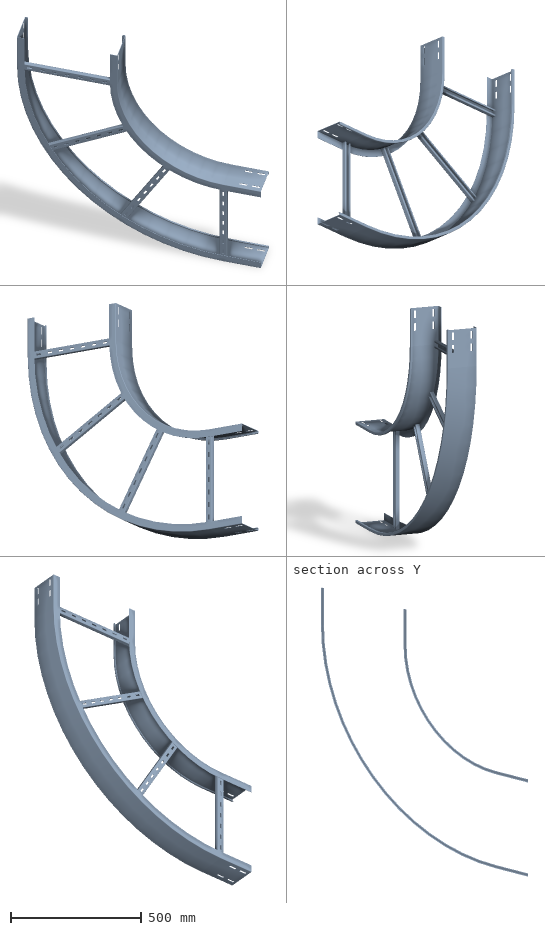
import cadquery as cq
import math

bend_radius = 820.0
ladder_width = 400.0
straight_length = 150.0
rail_height = 120.0

sheet = 1.5
bend_outer = 2.0
bend_inner = bend_outer - sheet

front_flange = 30.0
rear_flange = 12.0
rear_lip = 8.0

web_slot_length = 30.0
web_slot_width = 8.0
web_slot_end_distance = 25.0
web_slot_pitch = 50.0
web_slot_spacing = 75.0

rung_angles = (0, 30, 60, 90)
rung_width = 29.0
rung_depth = 17.0
rung_lip = 7.0
rung_slot_count = 7
rung_slot_pitch = 50.0
rung_slot_length = 20.0
rung_slot_width = 7.0

centre_x = bend_radius
centre_z = bend_radius
inner_bend_radius = bend_radius - ladder_width
rail_front = -rail_height / 2
rail_rear = rail_height / 2
rung_front = rail_front + sheet
cut_reach = 4 * sheet
pick_size = 0.1


def bent_section(outer_points):
    """Sketch of bent sheet; outer_points is its open outer outline, turning left at each corner."""
    directions = []
    for start, end in zip(outer_points, outer_points[1:]):
        length = math.dist(start, end)
        directions.append(((end[0] - start[0]) / length, (end[1] - start[1]) / length))
    inner_points = []
    for i, (u, v) in enumerate(outer_points):
        before = directions[max(i - 1, 0)]
        after = directions[min(i, len(directions) - 1)]
        normals = {(-before[1], before[0]), (-after[1], after[0])}
        inner_u = u + sheet * sum(normal[0] for normal in normals)
        inner_v = v + sheet * sum(normal[1] for normal in normals)
        inner_points.append((inner_u, inner_v))
    outline = cq.Sketch().polygon(outer_points + inner_points[::-1] + outer_points[:1])
    for corners, radius in ((outer_points[1:-1], bend_outer), (inner_points[1:-1], bend_inner)):
        for u, v in corners:
            corner_box = cq.selectors.BoxSelector(
                (u - pick_size, v - pick_size, -pick_size),
                (u + pick_size, v + pick_size, pick_size),
            )
            outline = outline.reset().vertices(corner_box).fillet(radius)
    return outline.reset()


def rail_section(web_radius, inward):
    """Rail outline in (distance from bend centre, Y); inward is -1 for flanges towards the centre."""
    front_edge = (web_radius + inward * front_flange, rail_front)
    front_corner = (web_radius, rail_front)
    rear_corner = (web_radius, rail_rear)
    rear_edge = (web_radius + inward * rear_flange, rail_rear)
    lip_edge = (web_radius + inward * rear_flange, rail_rear - rear_lip)
    points = [front_edge, front_corner, rear_corner, rear_edge, lip_edge]
    return bent_section(points if inward < 0 else points[::-1])


def web_slots(web_radius):
    """Cutters for the slots at both ends of a rail."""
    group_middle = straight_length - web_slot_end_distance - web_slot_pitch / 2
    lower = (
        cq.Workplane("XY", origin=(centre_x + group_middle, 0, centre_z - web_radius))
        .rarray(web_slot_pitch, web_slot_spacing, 2, 2)
        .rect(web_slot_length, web_slot_width)
        .extrude(cut_reach, both=True)
    )
    upper = (
        cq.Workplane("YZ", origin=(centre_x - web_radius, 0, centre_z + group_middle))
        .rarray(web_slot_spacing, web_slot_pitch, 2, 2)
        .rect(web_slot_width, web_slot_length)
        .extrude(cut_reach, both=True)
    )
    return lower.union(upper)


def make_rail(web_radius, inward):
    """One rail: straight run, quarter bend and straight run."""
    section = rail_section(web_radius, inward)
    centre = (centre_x, 0, centre_z)
    bend_start = cq.Plane(origin=centre, xDir=(0, 0, -1), normal=(1, 0, 0))
    bend_end = cq.Plane(origin=centre, xDir=(-1, 0, 0), normal=(0, 0, -1))
    lower = cq.Workplane(bend_start).placeSketch(section).extrude(straight_length)
    upper = cq.Workplane(bend_end).placeSketch(section).extrude(-straight_length)
    bend = cq.Workplane(bend_start).placeSketch(section).revolve(90, (0, 0, 0), (0, 1, 0))
    rail = lower.union(upper, clean=False).union(bend, clean=False)
    return rail.cut(web_slots(web_radius), clean=False)


def make_rung(angle):
    """One rung between the rail webs, just behind the front flanges, turned about the bend centre."""
    half = rung_width / 2
    near = inner_bend_radius + bend_outer
    far = math.sqrt((bend_radius - bend_outer) ** 2 - half ** 2)
    section = bent_section([
        (-half + rung_lip, rung_depth),
        (-half, rung_depth),
        (-half, 0),
        (half, 0),
        (half, rung_depth),
        (half - rung_lip, rung_depth),
    ])
    end_plane = cq.Plane(
        origin=(centre_x - near, rung_front, centre_z), xDir=(0, 0, 1), normal=(-1, 0, 0)
    )
    rung = cq.Workplane(end_plane).placeSketch(section).extrude(far - near)
    middle_radius = bend_radius - ladder_width / 2
    slots = (
        cq.Workplane("XZ", origin=(centre_x - middle_radius, rung_front, centre_z))
        .rarray(rung_slot_pitch, 1, rung_slot_count, 1)
        .rect(rung_slot_length, rung_slot_width)
        .extrude(cut_reach, both=True)
    )
    axis_start = (centre_x, 0, centre_z)
    axis_end = (centre_x, -1, centre_z)
    return rung.cut(slots).rotate(axis_start, axis_end, angle)


outer_rail = make_rail(bend_radius, -1)
inner_rail = make_rail(inner_bend_radius, 1)
rungs = [make_rung(angle) for angle in rung_angles]

result = cq.Compound.makeCompound(
    [outer_rail.val(), inner_rail.val()] + [rung.val() for rung in rungs]
)